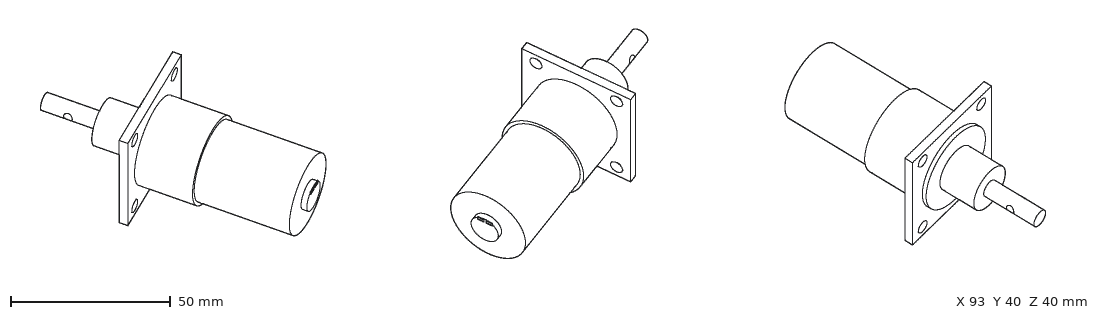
import cadquery as cq

SHAFT_LENGTH = 20.0
BOSS_LENGTH = 13.5
GEARBOX_LENGTH = 24.5
MOTOR_LENGTH = 32.8
END_CAP_LENGTH = 2.0

SHAFT_DIAMETER = 6.0
BOSS_DIAMETER = 16.0
GEARBOX_DIAMETER = 30.0
MOTOR_DIAMETER = 27.5
END_CAP_DIAMETER = 10.0

CROSS_HOLE_DIAMETER = 3.0
CROSS_HOLE_FROM_TIP = 9.5

PLATE_SIDE = 40.0
PLATE_THICKNESS = 3.0
PLATE_SETBACK = 1.5
PLATE_HOLE_DIAMETER = 4.4
PLATE_HOLE_SPACING_Y = 29.6
PLATE_HOLE_SPACING_Z = 32.0

PAD_WIDTH = 2.3
PAD_HEIGHT = 1.1
PAD_GAP = 0.8
PAD_PAIR_CENTER_Y = 0.2
PAD_CENTER_Z = 4.2
PAD_RELIEF = 0.2

GEARBOX_FRONT = SHAFT_LENGTH + BOSS_LENGTH
END_CAP_REAR = GEARBOX_FRONT + GEARBOX_LENGTH + MOTOR_LENGTH + END_CAP_LENGTH


def make_stepped_body():
    """Stack the coaxial cylinders from the shaft tip to the end cap."""
    sections = [
        (SHAFT_DIAMETER, SHAFT_LENGTH),
        (BOSS_DIAMETER, BOSS_LENGTH),
        (GEARBOX_DIAMETER, GEARBOX_LENGTH),
        (MOTOR_DIAMETER, MOTOR_LENGTH),
        (END_CAP_DIAMETER, END_CAP_LENGTH),
    ]
    body = cq.Workplane("YZ")
    start = 0.0
    for diameter, length in sections:
        section = cq.Workplane("YZ", origin=(start, 0, 0)).circle(diameter / 2).extrude(length)
        body = body.union(section)
        start += length
    return body


def make_mounting_plate():
    """Square plate with a clearance hole in each corner."""
    return (
        cq.Workplane("YZ", origin=(GEARBOX_FRONT + PLATE_SETBACK, 0, 0))
        .rect(PLATE_SIDE, PLATE_SIDE)
        .extrude(PLATE_THICKNESS)
        .faces("<X")
        .workplane(centerOption="CenterOfBoundBox")
        .rect(PLATE_HOLE_SPACING_Y, PLATE_HOLE_SPACING_Z, forConstruction=True)
        .vertices()
        .hole(PLATE_HOLE_DIAMETER)
    )


def make_cross_hole():
    """Cutter for the hole across the shaft."""
    return (
        cq.Workplane("XZ", origin=(CROSS_HOLE_FROM_TIP, 0, 0))
        .circle(CROSS_HOLE_DIAMETER / 2)
        .extrude(SHAFT_DIAMETER, both=True)
    )


def make_raised_pads():
    """Pair of shallow pads standing on the rear face of the end cap."""
    return (
        cq.Workplane("YZ", origin=(END_CAP_REAR, PAD_PAIR_CENTER_Y, PAD_CENTER_Z))
        .rarray(PAD_WIDTH + PAD_GAP, 1, 2, 1)
        .rect(PAD_WIDTH, PAD_HEIGHT)
        .extrude(PAD_RELIEF)
    )


result = make_stepped_body().union(make_mounting_plate())
result = result.cut(make_cross_hole()).union(make_raised_pads())